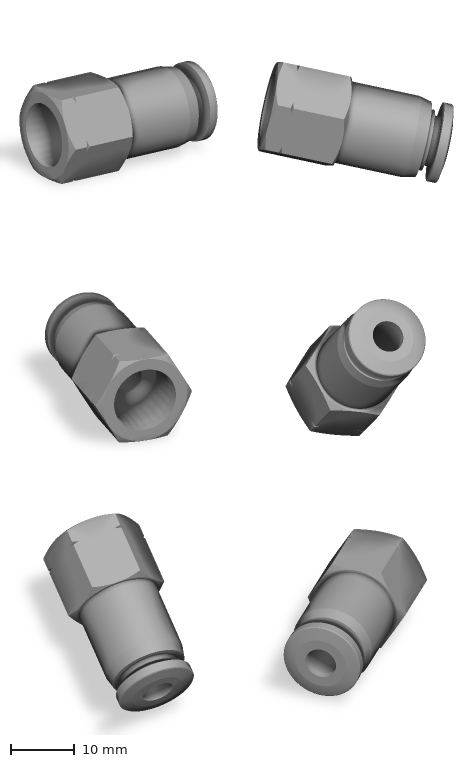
import cadquery as cq
import math

length = 28.8

across_flats = 14.0
across_corners = across_flats / math.cos(math.radians(30))
hex_length = 11.92
hex_face_radius = 6.97
hex_chamfer_angle = 30.0

groove_position = 3.0
groove_radius = 7.6
groove_half_width = 0.25

body_radius = 6.5
shoulder_radius = 6.05
shoulder_start = 22.98
shoulder_end = 24.95

collar_radius = 4.87
collar_end = 25.72
neck_radius = 4.0
neck_flare_start = 26.67
neck_flare_radius = 4.12
button_start = 26.9
button_radius = 6.3
button_rim = 28.25
button_edge_radius = 6.15
button_edge = 28.4
button_face_radius = 4.18

socket_mouth_radius = 5.15
taper_per_diameter = 16.0
socket_floor_radius = 4.9
socket_depth = 2 * (socket_mouth_radius - socket_floor_radius) * taper_per_diameter
bore_radius = 2.5


def revolve_profile(points):
    """Turn a closed outline of (radius, y) points about the Y axis."""
    return cq.Workplane("XY").polyline(points).close().revolve(360, (0, 0, 0), (0, 1, 0))


def make_nut():
    prism = cq.Workplane("XZ").polygon(6, across_corners).extrude(-hex_length)

    corner_radius = across_corners / 2
    chamfer_length = (corner_radius - hex_face_radius) * math.tan(math.radians(hex_chamfer_angle))
    envelope = revolve_profile([
        (0, 0),
        (hex_face_radius, 0),
        (corner_radius, chamfer_length),
        (corner_radius, hex_length - chamfer_length),
        (hex_face_radius, hex_length),
        (0, hex_length),
    ])

    overshoot = 2.0
    groove_depth = corner_radius - groove_radius
    outer_half_width = groove_half_width * overshoot
    outer_radius = groove_radius + groove_depth * overshoot
    groove = revolve_profile([
        (groove_radius, groove_position),
        (outer_radius, groove_position - outer_half_width),
        (outer_radius, groove_position + outer_half_width),
    ])
    return prism.intersect(envelope).cut(groove)


def make_body():
    body_start = hex_length / 2
    return revolve_profile([
        (0, body_start),
        (body_radius, body_start),
        (body_radius, shoulder_start),
        (shoulder_radius, shoulder_end),
        (collar_radius, shoulder_end),
        (collar_radius, collar_end),
        (neck_radius, collar_end),
        (neck_radius, neck_flare_start),
        (neck_flare_radius, button_start),
        (button_radius, button_start),
        (button_radius, button_rim),
        (button_edge_radius, button_edge),
        (button_face_radius, length),
        (0, length),
    ])


def make_passage():
    return revolve_profile([
        (0, 0),
        (socket_mouth_radius, 0),
        (socket_floor_radius, socket_depth),
        (bore_radius, socket_depth),
        (bore_radius, length),
        (0, length),
    ])


result = make_nut().union(make_body()).cut(make_passage())